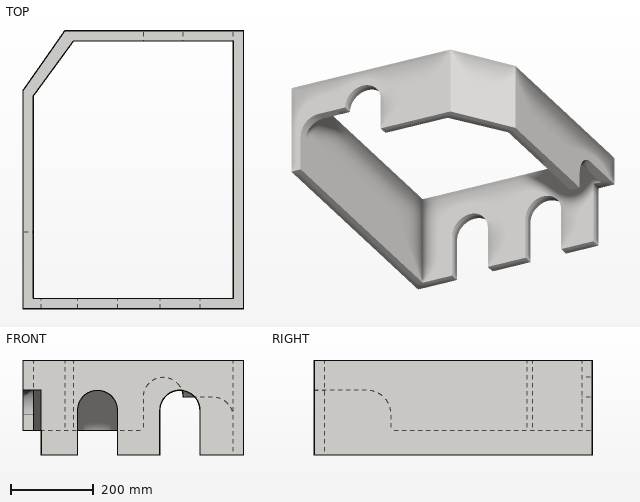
import cadquery as cq

width = 535.0
depth = 675.0
height = 230.0
wall = 25.5

corner_x = 102.0
corner_y = 146.0
inner_corner_x = 97.0
inner_corner_y = 133.0

raised_bottom = 59.5

arch_width = 96.5
arch_radius = arch_width / 2
front_arch_top = 157.0
front_arch_centers = (181.0, 381.0)
back_arch_top = 189.0
back_arch_center = 340.0

notch_top = 158.0
notch_width = 44.5
notch_depth = 186.0
notch_radius = 59.0


def frame_prism(x0, y0, x1, y1, cut_x, cut_y):
    """Full-height rectangular block with its back left corner cut off."""
    points = [(x0, y0), (x1, y0), (x1, y1), (x0 + cut_x, y1), (x0, y1 - cut_y)]
    return cq.Workplane("XY").polyline(points).close().extrude(height)


def arch_cutter(center_x, start_y, top):
    """Round-topped opening through one wall thickness, open at the bottom."""
    spring = top - arch_radius
    return (
        cq.Workplane("XZ", origin=(center_x, start_y, 0))
        .moveTo(-arch_radius, 0)
        .lineTo(-arch_radius, spring)
        .threePointArc((0, top), (arch_radius, spring))
        .lineTo(arch_radius, 0)
        .close()
        .extrude(-wall)
    )


def block(x0, y0, z0, x1, y1, z1):
    """Box between two opposite corners."""
    return cq.Workplane("XY").box(x1 - x0, y1 - y0, z1 - z0, centered=False).translate((x0, y0, z0))


outer = frame_prism(0, 0, width, depth, corner_x, corner_y)
inner = frame_prism(wall, wall, width - wall, depth - wall, inner_corner_x, inner_corner_y)
result = outer.cut(inner)

result = result.cut(block(0, wall, 0, width - wall, depth, raised_bottom))

left_opening = block(0, 0, 0, wall, notch_depth, notch_top).edges(">Y and >Z").fillet(notch_radius)
front_opening = block(0, 0, 0, notch_width, wall, notch_top)
result = result.cut(left_opening).cut(front_opening)

for center_x in front_arch_centers:
    result = result.cut(arch_cutter(center_x, 0, front_arch_top))

back_start = depth - wall
back_spring = back_arch_top - arch_radius
low_opening = block(back_arch_center, back_start, 0, width - wall, depth, back_spring)
low_opening = low_opening.edges(">X and >Z").fillet(arch_radius)
result = result.cut(arch_cutter(back_arch_center, back_start, back_arch_top)).cut(low_opening)